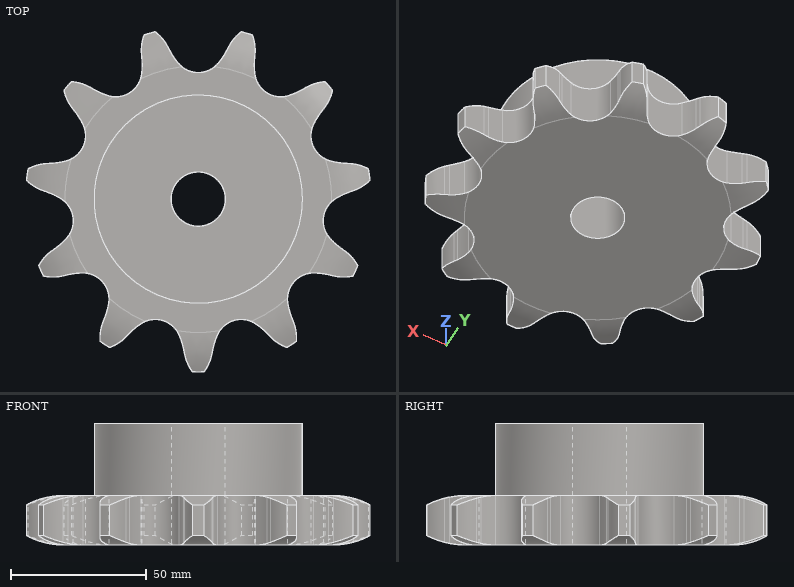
import cadquery as cq
import math

teeth = 11
chain_pitch = 31.8
roller_diameter = 19.0

wheel_width = 18.4
tip_radius = 63.9
crown_start_radius = 49.3
crown_arc_radius = chain_pitch
hub_diameter = 77.0
bore_diameter = 20.0
total_height = 45.0

tooth_angle = 360 / teeth
seat_angle = math.radians(35 + 60 / teeth)
working_angle = math.radians(18 - 56 / teeth)
seat_radius = 0.5025 * roller_diameter
working_centre_distance = 0.8 * roller_diameter
topping_centre_distance = 1.4 * roller_diameter
pitch_radius = chain_pitch / (2 * math.sin(math.pi / teeth))

overlap = 1.3


def polar(centre, radius, angle):
    """Point at a radius and an angle (radians) from a centre."""
    return (centre[0] + radius * math.cos(angle), centre[1] + radius * math.sin(angle))


def mirrored(point):
    return (-point[0], point[1])


def circle_crossing(centre, radius, outer_radius):
    """Outer crossing, on the gap side, of a circle with a circle about the wheel axis."""
    distance = math.hypot(*centre)
    cosine = (outer_radius**2 + distance**2 - radius**2) / (2 * outer_radius * distance)
    return polar((0, 0), outer_radius, math.atan2(centre[1], centre[0]) + math.acos(cosine))


def tooth_gap():
    """Cutter for one gap, centred on +Y: roller seat, working arcs, short flats, topping arcs."""
    seat_centre = (0, pitch_radius)
    working_centre = polar(seat_centre, working_centre_distance, math.pi - seat_angle)
    topping_centre = polar(seat_centre, topping_centre_distance, -math.pi / teeth)
    working_radius = working_centre_distance + seat_radius
    flat_normal = working_angle - seat_angle

    seat_bottom = polar(seat_centre, seat_radius, -math.pi / 2)
    seat_end = polar(seat_centre, seat_radius, -seat_angle)
    working_middle = polar(working_centre, working_radius, flat_normal - working_angle / 2)
    working_end = polar(working_centre, working_radius, flat_normal)

    topping_radius = (
        (topping_centre[0] - working_end[0]) * math.cos(flat_normal)
        + (topping_centre[1] - working_end[1]) * math.sin(flat_normal)
    )
    flat_end = polar(topping_centre, -topping_radius, flat_normal)
    tip = circle_crossing(topping_centre, topping_radius, tip_radius)
    tip_direction = math.atan2(tip[1] - topping_centre[1], tip[0] - topping_centre[0])
    topping_middle = polar(
        topping_centre, topping_radius, (flat_normal + math.pi + tip_direction) / 2
    )
    outside = (tip[0], tip_radius + overlap)

    return (
        cq.Workplane("XY")
        .moveTo(*mirrored(outside))
        .lineTo(*mirrored(tip))
        .threePointArc(mirrored(topping_middle), mirrored(flat_end))
        .lineTo(*mirrored(working_end))
        .threePointArc(mirrored(working_middle), mirrored(seat_end))
        .threePointArc(seat_bottom, seat_end)
        .threePointArc(working_middle, working_end)
        .lineTo(*flat_end)
        .threePointArc(topping_middle, tip)
        .lineTo(*outside)
        .close()
        .extrude(wheel_width)
    )


def crowned_blank():
    """Disc whose two faces curve in towards each other out to the tooth tips."""
    def crown_drop(radius):
        return crown_arc_radius - math.sqrt(crown_arc_radius**2 - (radius - crown_start_radius) ** 2)

    middle_radius = (crown_start_radius + tip_radius) / 2
    middle_drop = crown_drop(middle_radius)
    tip_drop = crown_drop(tip_radius)
    return (
        cq.Workplane("XZ")
        .moveTo(0, 0)
        .lineTo(crown_start_radius, 0)
        .threePointArc((middle_radius, middle_drop), (tip_radius, tip_drop))
        .lineTo(tip_radius, wheel_width - tip_drop)
        .threePointArc((middle_radius, wheel_width - middle_drop), (crown_start_radius, wheel_width))
        .lineTo(0, wheel_width)
        .close()
        .revolve(360, (0, 0, 0), (0, 1, 0))
    )


wheel = crowned_blank()
gap = tooth_gap()
for index in range(teeth):
    wheel = wheel.cut(gap.rotate((0, 0, 0), (0, 0, 1), index * tooth_angle))

hub = cq.Workplane("XY").circle(hub_diameter / 2).extrude(total_height)
bore = cq.Workplane("XY").circle(bore_diameter / 2).extrude(total_height)
result = wheel.union(hub).cut(bore)